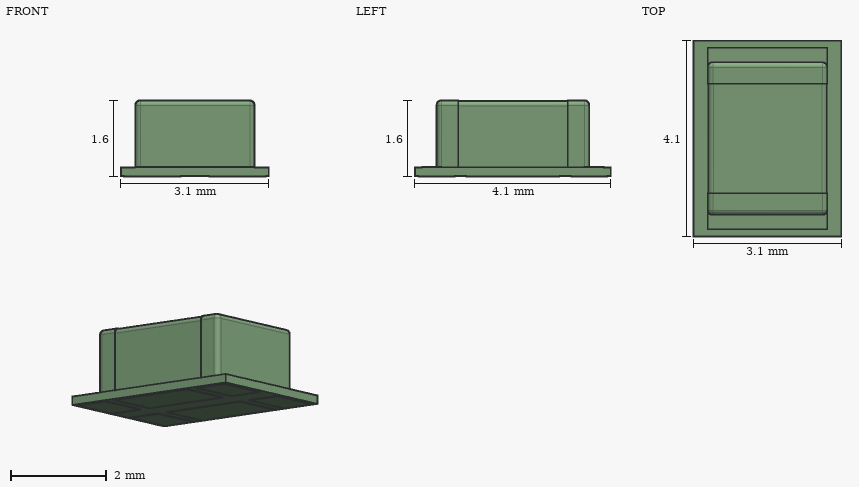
import cadquery as cq

board_width = 3.1
board_length = 4.1
board_thickness = 0.18

pad_thickness = 0.015

chip_width = 2.5
chip_length = 3.2
chip_height = 1.39
cap_length = 0.45
edge_radius = 0.102
body_recess = 0.0102

land_outer_y = 1.9

bottom_pad_inner_x = 0.3
bottom_pad_outer_x = 1.485
middle_pad_length = 1.95
end_pad_length = 0.755
end_pad_outer_y = 1.972

cap_inner_y = chip_length / 2 - cap_length
chip_bottom_z = board_thickness + pad_thickness
chip_top_z = chip_bottom_z + chip_height


def block(width, length, bottom_z, top_z, x=0.0, y=0.0):
    """Box centred on (x, y) between two heights."""
    base = cq.Workplane("XY").workplane(offset=bottom_z).center(x, y)
    return base.rect(width, length).extrude(top_z - bottom_z)


def make_cap(side):
    """End cap: a slice of the chip block with rounded top and corner edges."""
    chip = block(chip_width, chip_length, chip_bottom_z, chip_top_z)
    rounded = chip.edges("|Z or >Z").fillet(edge_radius)
    slice_y = side * (cap_inner_y + cap_length / 2)
    return rounded.intersect(block(chip_width, cap_length, chip_bottom_z, chip_top_z, y=slice_y))


def make_body():
    """Ceramic middle, slightly lower and narrower than the caps, sitting on the board."""
    body_width = chip_width - 2 * body_recess
    body = block(body_width, 2 * cap_inner_y, board_thickness, chip_top_z - body_recess)
    return body.edges(">Z and |Y").fillet(edge_radius)


def make_land(side):
    """Top pad below one cap."""
    land_length = land_outer_y - cap_inner_y
    land_y = side * (land_outer_y + cap_inner_y) / 2
    return block(chip_width, land_length, board_thickness, chip_bottom_z, y=land_y)


def make_bottom_pads(side):
    """Column of three pads under one half of the board."""
    pad_width = bottom_pad_outer_x - bottom_pad_inner_x
    pad_x = side * (bottom_pad_outer_x + bottom_pad_inner_x) / 2
    end_pad_y = end_pad_outer_y - end_pad_length / 2
    pads = block(pad_width, middle_pad_length, -pad_thickness, 0, x=pad_x)
    for end in (-1, 1):
        pads = pads.union(block(pad_width, end_pad_length, -pad_thickness, 0, x=pad_x, y=end * end_pad_y))
    return pads


result = block(board_width, board_length, 0, board_thickness).union(make_body())
for side in (-1, 1):
    result = result.union(make_land(side))
    result = result.union(make_cap(side))
    result = result.union(make_bottom_pads(side))